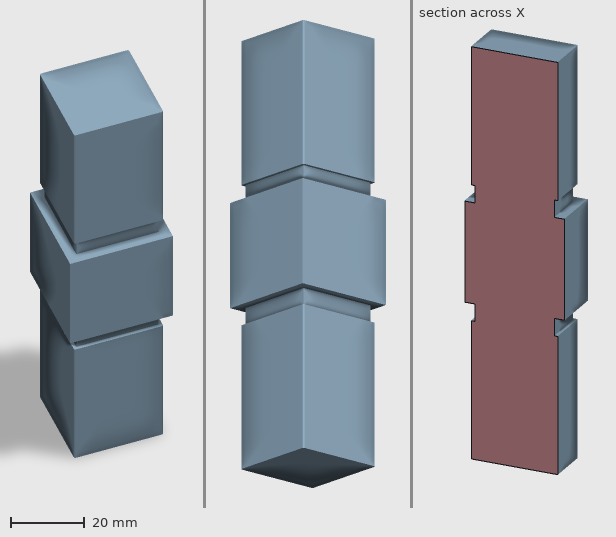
import cadquery as cq

total_length = 122.0
hub_side = 30.0
post_side = 26.0
neck_side = 24.0
neck_length = 5.0
post_corner_radius = 0.5

hub_face = hub_side / 2
post_start = hub_face + neck_length
post_length = total_length / 2 - post_start


def square_bar(side, length, bottom):
    """Square bar along Z, centred on the axis and rising from the given height."""
    return cq.Workplane("XY").workplane(offset=bottom).rect(side, side).extrude(length)


def post(bottom):
    """End post with its four lengthwise edges rounded."""
    return square_bar(post_side, post_length, bottom).edges("|Z").fillet(post_corner_radius)


hub = square_bar(hub_side, hub_side, -hub_face)
core = square_bar(neck_side, 2 * post_start, -post_start)
upper_post = post(post_start)
lower_post = post(-total_length / 2)

result = hub.union(core).union(upper_post).union(lower_post)